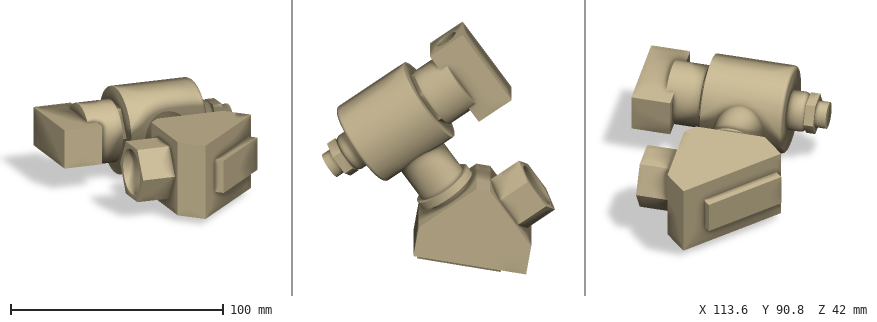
import cadquery as cq


coil_diameter = 42.0
coil_front_y = -19.1
coil_back_y = 20.1
coil_edge_radius = 1.7
nose_diameter = 19.1
nose_end_y = 28.4
nose_edge_radius = 2.5
nut_corner_diameter = 19.5
nut_end_y = 33.0
stem_diameter = 12.7
stem_end_y = 38.2

branch_diameter = 24.1
flange_start_x = 37.7
flange_thickness = 4.0
flange_diameter = 28.9
spigot_diameter = 21.9

block_left_x = 44.2
block_right_x = 92.6
block_front_y = -19.9
block_right_corner_y = -9.8
block_left_top_y = 18.1
block_front_chamfer = 4.7
block_height = 36.1
plate_offset = 2.5
plate_length = 40.0
plate_thickness = 4.3
plate_height = 15.9
port_x = 64.2
port_length = 16.1
port_hex_diameter = 29.8
port_bore_diameter = 21.8
port_bore_depth = 13.1

collar_hex_diameter = 29.3
collar_hex_length = 2.0
collar_diameter = 30.0
collar_end_y = -37.7
bar_length = 40.0
bar_section = 18.9
bar_end_y = -52.6
bar_bore_diameter = 10.8
bar_bore_depth = 6.0


def cylinder_y(diameter, start_y, end_y, x=0):
    """Round bar along Y."""
    sketch = cq.Workplane("XZ", origin=(x, start_y, 0)).circle(diameter / 2)
    return sketch.extrude(start_y - end_y)


def hexagon_y(corner_diameter, start_y, end_y, x=0):
    """Hexagonal bar along Y, with two corners on the X direction."""
    sketch = cq.Workplane("XZ", origin=(x, start_y, 0)).polygon(6, corner_diameter)
    return sketch.extrude(start_y - end_y)


def cylinder_x(diameter, start_x, end_x, y=0):
    """Round bar along X."""
    sketch = cq.Workplane("YZ", origin=(start_x, y, 0)).circle(diameter / 2)
    return sketch.extrude(end_x - start_x)


def make_valve_body():
    """Coil with its nose, nut and stem, and the flanged side branch."""
    coil = cylinder_y(coil_diameter, coil_front_y, coil_back_y)
    coil = coil.faces(">Y").edges().fillet(coil_edge_radius)
    nose = cylinder_y(nose_diameter, coil_back_y, nose_end_y)
    nose = nose.faces(">Y").edges().fillet(nose_edge_radius)
    nut = hexagon_y(nut_corner_diameter, nose_end_y, nut_end_y)
    stem = cylinder_y(stem_diameter, nut_end_y, stem_end_y)

    flange_end_x = flange_start_x + flange_thickness
    branch = cylinder_x(branch_diameter, 0, flange_start_x)
    flange = cylinder_x(flange_diameter, flange_start_x, flange_end_x)
    spigot = cylinder_x(spigot_diameter, flange_end_x, block_left_x)
    return coil.union(nose).union(nut).union(stem).union(branch).union(flange).union(spigot)


def make_strainer():
    """Block with 45 degree sides, a plate on its sloping back and a hexagonal port."""
    back_sum = block_right_x + block_right_corner_y
    left_difference = block_left_x - block_left_top_y
    peak_x = (back_sum + left_difference) / 2
    peak_y = (back_sum - left_difference) / 2
    front_right_x = block_right_x - (block_right_corner_y - block_front_y)
    outline = [
        (block_left_x, block_left_top_y),
        (peak_x, peak_y),
        (block_right_x, block_right_corner_y),
        (front_right_x, block_front_y),
        (block_left_x + block_front_chamfer, block_front_y),
        (block_left_x, block_front_y + block_front_chamfer),
    ]
    block = cq.Workplane("XY").polyline(outline).close().extrude(block_height / 2, both=True)

    plate = (
        cq.Workplane("XY")
        .box(plate_length, plate_thickness, plate_height, centered=(False, False, True))
        .translate((plate_offset, 0, 0))
        .rotate((0, 0, 0), (0, 0, 1), -45)
        .translate((peak_x, peak_y, 0))
    )

    port_end_y = block_front_y - port_length
    port = hexagon_y(port_hex_diameter, block_front_y, port_end_y, port_x)
    bore = cylinder_y(port_bore_diameter, port_end_y + port_bore_depth, port_end_y, port_x)
    return block.union(plate).union(port.cut(bore))


def make_outlet():
    """Thin hexagon and round collar that run into a square bar with a blind bore."""
    collar_start_y = coil_front_y - collar_hex_length
    hexagon = hexagon_y(collar_hex_diameter, coil_front_y, collar_start_y)
    collar = cylinder_y(collar_diameter, collar_start_y, collar_end_y)
    bar_y = bar_end_y + bar_section / 2
    bar = cq.Workplane("XY").box(bar_length, bar_section, bar_section).translate((0, bar_y, 0))
    bar_left_x = -bar_length / 2
    bore = cylinder_x(bar_bore_diameter, bar_left_x, bar_left_x + bar_bore_depth, bar_y)
    return hexagon.union(collar).union(bar).cut(bore)


valve_body = make_valve_body()
strainer = make_strainer()
outlet = make_outlet()

result = cq.Compound.makeCompound([valve_body.val(), strainer.val(), outlet.val()])